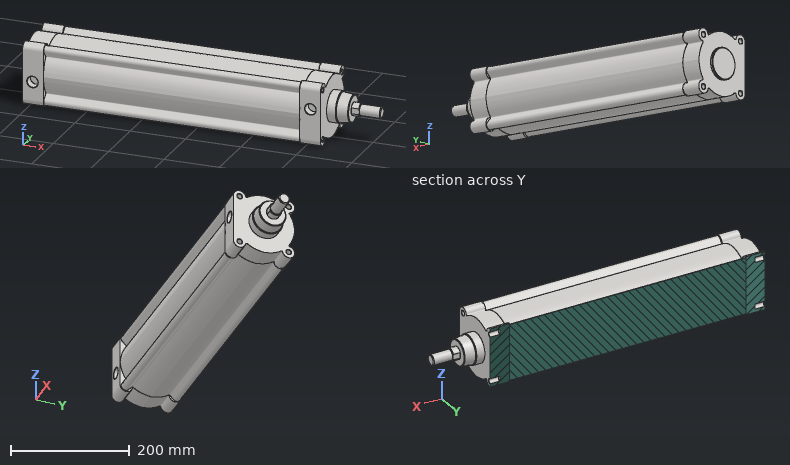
import cadquery as cq
import math

OVERALL_LENGTH = 633.0
REAR_BOSS_LENGTH = 4.5
CAP_LENGTH = 38.0
TUBE_LENGTH = 463.0
NOSE_LENGTH = 17.0
GLAND_LENGTH = 21.0
COLLAR_LENGTH = 14.5

REAR_CAP_START = REAR_BOSS_LENGTH
TUBE_START = REAR_CAP_START + CAP_LENGTH
FRONT_CAP_START = TUBE_START + TUBE_LENGTH
NOSE_START = FRONT_CAP_START + CAP_LENGTH
GLAND_START = NOSE_START + NOSE_LENGTH
GLAND_END = GLAND_START + GLAND_LENGTH
COLLAR_END = GLAND_END + COLLAR_LENGTH

OVERALL_WIDTH = 112.0
HALF_WIDTH = OVERALL_WIDTH / 2
RIDGE_HALF_WIDTH = 8.0
RIDGE_ANGLE = math.asin(2 * RIDGE_HALF_WIDTH / HALF_WIDTH) / 2
CORE_RADIUS = HALF_WIDTH * math.cos(RIDGE_ANGLE)
QUARTER_TURN = math.pi / 2

TUBE_EAR_INSET = 2.0
TUBE_EAR_RADIUS = 7.5
TUBE_EAR_CENTER = HALF_WIDTH - TUBE_EAR_INSET - TUBE_EAR_RADIUS
TUBE_NECK_FILLET = 2.0

CAP_EAR_RADIUS = 11.5
CAP_EAR_CENTER = HALF_WIDTH - CAP_EAR_RADIUS
CAP_NECK_FILLET = 2.0
FLAT_SIDE_DEPTH = 1.5 * CAP_EAR_RADIUS
TIE_HOLE_DIAMETER = 9.0
TIE_HOLE_DEPTH = 19.0
TIE_HOLE_CHAMFER = 0.5

PORT_DIAMETER = 19.5
PORT_DEPTH = 16.0
PORT_CHAMFER = 0.5
PORT_FROM_TUBE = 19.5
PORT_OFFSET = 11.5

BOSS_RADIUS = 28.0
BOSS_CHAMFER = 1.0
GLAND_BASE_RADIUS = 52.5 / 2
GLAND_END_RADIUS = 49.0 / 2
GLAND_CHAMFER = 1.0

COLLAR_RADIUS = 23.5 / 2
FLATS_WIDTH = 21.0
COLLAR_CHAMFER = 1.0
THREAD_RADIUS = 10.0
THREAD_CHAMFER = 1.6


def section_plane(x):
    """Cross-section plane at station x, with local axes along Y and Z."""
    return cq.Workplane("YZ", origin=(x, 0, 0))


def polar(radius, angle):
    """Point in the cross-section at a radius and an angle in radians from +Y."""
    return (radius * math.cos(angle), radius * math.sin(angle))


def ridged_core(x, length):
    """Round bar with a low tangent ridge on each of its four sides."""
    outline = section_plane(x).moveTo(*polar(HALF_WIDTH, 0))
    for side in range(4):
        ridge = side * QUARTER_TURN
        next_ridge = ridge + QUARTER_TURN
        outline = (
            outline.lineTo(*polar(CORE_RADIUS, ridge + RIDGE_ANGLE))
            .threePointArc(
                polar(CORE_RADIUS, ridge + QUARTER_TURN / 2),
                polar(CORE_RADIUS, next_ridge - RIDGE_ANGLE),
            )
            .lineTo(*polar(HALF_WIDTH, next_ridge))
        )
    return outline.close().extrude(length)


def corners(offset):
    """The four corner points of a square centred on the axis."""
    return [(y, z) for y in (-offset, offset) for z in (-offset, offset)]


def fillet_necks(body, radius):
    """Round the inner corners where the ears leave the core."""
    near_axis = CORE_RADIUS / 2

    def is_neck(edge):
        point = edge.Center()
        beside_ridge = min(abs(point.y), abs(point.z)) < near_axis
        return not beside_ridge and math.hypot(point.y, point.z) < HALF_WIDTH

    necks = body.edges("|X").filter(is_neck)
    return body.newObject(necks.vals()).fillet(radius)


def make_tube():
    """Solid barrel with four ears joined to the core by necks along the diagonals."""
    tube = ridged_core(TUBE_START, TUBE_LENGTH)
    ears = section_plane(TUBE_START).pushPoints(corners(TUBE_EAR_CENTER)).circle(TUBE_EAR_RADIUS)
    tube = tube.union(ears.extrude(TUBE_LENGTH))
    neck_span = 2 * math.hypot(TUBE_EAR_CENTER, TUBE_EAR_CENTER)
    for angle in (45, -45):
        neck = (
            section_plane(TUBE_START)
            .transformed(rotate=(0, 0, angle))
            .rect(neck_span, 2 * TUBE_EAR_RADIUS)
            .extrude(TUBE_LENGTH)
        )
        tube = tube.union(neck)
    return fillet_necks(tube.clean(), TUBE_NECK_FILLET)


def hole_cutter(mouth, direction, diameter, depth, chamfer):
    """Tool for a blind round hole with a chamfered mouth."""
    radius = diameter / 2
    drill = cq.Solid.makeCylinder(radius, depth, mouth, direction)
    countersink = cq.Solid.makeCone(radius + chamfer, radius, chamfer, mouth, direction)
    return drill.fuse(countersink)


def make_cap(start, outer_face, port_x, port_z):
    """End cap with four ears, a flat -Y side, an air port and blind holes in its outer face.

    start is the X of its -X face; outer_face is the X of the face turned away from the tube.
    """
    cap = ridged_core(start, CAP_LENGTH)
    ears = section_plane(start).pushPoints(corners(CAP_EAR_CENTER)).circle(CAP_EAR_RADIUS)
    flat_side = (
        section_plane(start)
        .center(-HALF_WIDTH + FLAT_SIDE_DEPTH / 2, 0)
        .rect(FLAT_SIDE_DEPTH, 2 * CAP_EAR_CENTER)
        .extrude(CAP_LENGTH)
    )
    cap = cap.union(ears.extrude(CAP_LENGTH)).union(flat_side)
    cap = fillet_necks(cap, CAP_NECK_FILLET)

    inward = cq.Vector(1, 0, 0) if outer_face == start else cq.Vector(-1, 0, 0)
    for y, z in corners(CAP_EAR_CENTER):
        mouth = cq.Vector(outer_face, y, z)
        cap = cap.cut(hole_cutter(mouth, inward, TIE_HOLE_DIAMETER, TIE_HOLE_DEPTH, TIE_HOLE_CHAMFER))

    port_mouth = cq.Vector(port_x, -HALF_WIDTH, port_z)
    return cap.cut(hole_cutter(port_mouth, cq.Vector(0, 1, 0), PORT_DIAMETER, PORT_DEPTH, PORT_CHAMFER))


def make_rear_cap():
    """Rear cap with its centring boss."""
    cap = make_cap(REAR_CAP_START, REAR_CAP_START, TUBE_START - PORT_FROM_TUBE, -PORT_OFFSET)
    boss = section_plane(0).circle(BOSS_RADIUS).extrude(REAR_BOSS_LENGTH)
    boss = boss.faces("<X").chamfer(BOSS_CHAMFER)
    return cap.union(boss)


def make_front_cap():
    """Front cap with its nose and tapered gland, bored through for the rod."""
    cap = make_cap(FRONT_CAP_START, NOSE_START, FRONT_CAP_START + PORT_FROM_TUBE, PORT_OFFSET)
    nose = section_plane(NOSE_START).circle(BOSS_RADIUS).extrude(NOSE_LENGTH)
    nose = nose.faces(">X").chamfer(BOSS_CHAMFER)
    gland = (
        cq.Workplane("XY")
        .moveTo(GLAND_START, 0)
        .lineTo(GLAND_START, GLAND_BASE_RADIUS)
        .lineTo(GLAND_END, GLAND_END_RADIUS)
        .lineTo(GLAND_END, 0)
        .close()
        .revolve(360, (0, 0, 0), (1, 0, 0))
    )
    gland = gland.faces(">X").chamfer(GLAND_CHAMFER)
    bore = section_plane(FRONT_CAP_START).circle(COLLAR_RADIUS).extrude(GLAND_END - FRONT_CAP_START)
    return cap.union(nose).union(gland).cut(bore)


def make_rod():
    """Piston rod with two wrench flats on its collar and a chamfered thread end."""
    rod = section_plane(FRONT_CAP_START).circle(COLLAR_RADIUS).extrude(COLLAR_END - FRONT_CAP_START)
    rod = rod.faces(">X").chamfer(COLLAR_CHAMFER)
    flats = (
        section_plane(GLAND_END)
        .circle(2 * COLLAR_RADIUS)
        .rect(FLATS_WIDTH, 2 * COLLAR_RADIUS)
        .extrude(COLLAR_LENGTH)
    )
    thread = section_plane(COLLAR_END).circle(THREAD_RADIUS).extrude(OVERALL_LENGTH - COLLAR_END)
    thread = thread.faces(">X").chamfer(THREAD_CHAMFER)
    return rod.cut(flats).union(thread)


rear_cap = make_rear_cap()
tube = make_tube()
front_cap = make_front_cap()
rod = make_rod()

result = cq.Compound.makeCompound([rear_cap.val(), tube.val(), front_cap.val(), rod.val()])